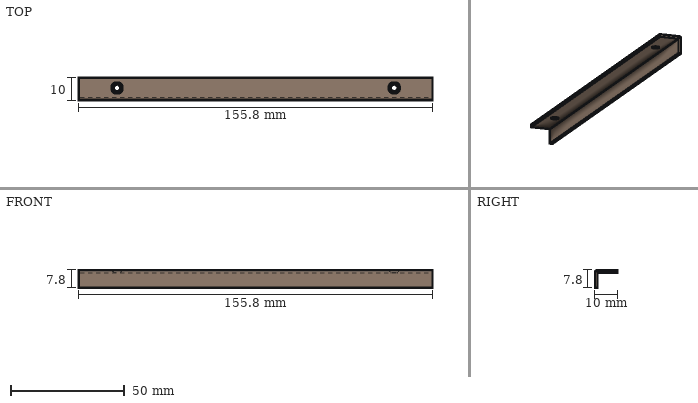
import cadquery as cq

length = 155.8
flange_width = 10.0
web_height = 7.8
thickness = 1.2
corner_radius = 1.17

hole_spacing = 122.0
hole_from_back = 4.5
hole_diameter = 3.0
countersink_diameter = 5.0
countersink_angle = 90.0

front = -flange_width / 2
back = flange_width / 2
top = web_height / 2
bottom = -web_height / 2


def angle_strip():
    """L-shaped profile in the YZ plane, extruded along X, with a rounded outer corner."""
    profile = (
        cq.Workplane("YZ")
        .moveTo(front, bottom)
        .lineTo(front, top - corner_radius)
        .radiusArc((front + corner_radius, top), corner_radius)
        .lineTo(back, top)
        .lineTo(back, top - thickness)
        .lineTo(front + thickness, top - thickness)
        .lineTo(front + thickness, bottom)
        .close()
    )
    return profile.extrude(length / 2, both=True)


def drill_screw_holes(strip):
    """Countersink two through holes in the flange, symmetric about the middle."""
    hole_y = back - hole_from_back
    centres = [(side * hole_spacing / 2, hole_y) for side in (-1, 1)]
    return (
        strip.faces(">Z")
        .workplane(origin=(0, 0, top))
        .pushPoints(centres)
        .cskHole(hole_diameter, countersink_diameter, countersink_angle)
    )


result = drill_screw_holes(angle_strip())